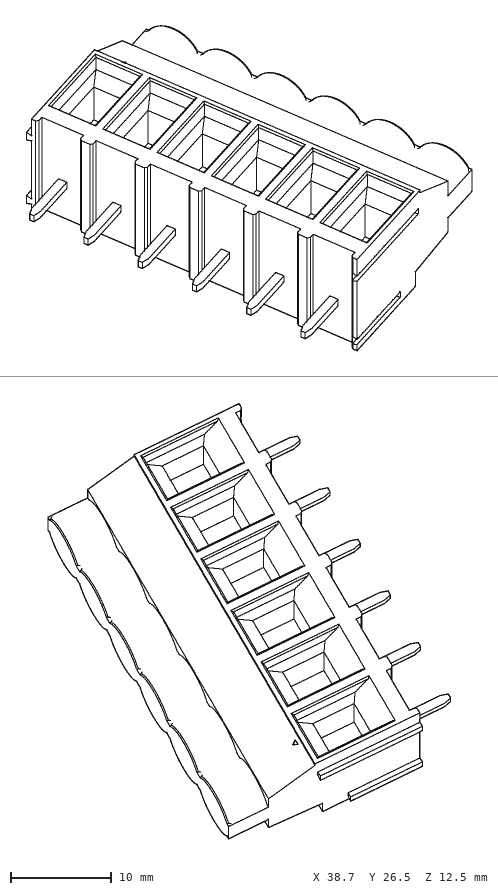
import cadquery as cq
import math


overall_length = 38.65
pole_count = 6
body_length = 38.07
pitch = body_length / pole_count
pole_centers = [(i + 0.5) * pitch for i in range(pole_count)]
pole_left_edges = [i * pitch for i in range(pole_count)]

body_height = 12.5
body_depth = 17.0
top_length = 11.8
top_step = 0.35
slope_end_z = 9.5
foot_length = 10.95
foot_height = 2.0
underside_end_z = 2.5

overall_depth = 21.5
barrel_radius = 3.25
barrel_z = 6.0
barrel_taper_length = 0.15
barrel_taper_inset = 0.08
slab_height = 3.0
slab_fillet = 0.2

panel_recess = 0.77
rib_half_width = 0.75
rib_chamfer = 0.25

mouth_width = 5.53
mouth_front_y = 2.55
mouth_back_y = 11.3
mouth_chamfer = 0.2
wall_depth = 1.85
funnel_depth = 2.47
well_width = 3.5
well_front_y = 4.75
well_back_y = 9.4
well_depth = 6.95

pin_width = 0.95
pin_thickness = 0.85
pin_length = 5.02
pin_tip_length = 0.8
pin_tip_width = 0.5
pin_z = 4.65

rail_projection = overall_length - body_length
rail_height = 1.1
rail_root_height = 0.7
upper_rail_z = 9.85
upper_rail_length = 11.48
lower_rail_z = 1.2
lower_rail_length = 8.08

mark_width = 0.55
mark_length = 0.45
mark_base_y = 12.17
mark_depth = 0.08


def make_housing():
    profile = [
        (0, 0),
        (foot_length, 0),
        (foot_length, foot_height),
        (body_depth, underside_end_z),
        (body_depth, slope_end_z),
        (top_length, body_height - top_step),
        (top_length, body_height),
        (0, body_height),
    ]
    return cq.Workplane("YZ").polyline(profile).close().extrude(body_length)


def make_barrels():
    """Screw barrels joined by a slab, with small fillets where they meet."""
    length = overall_depth - body_depth
    start = cq.Workplane("XZ", origin=(0, overall_depth, barrel_z))
    barrels = start.center(body_length / 2, 0).rect(body_length, slab_height).extrude(length)
    for x in pole_centers:
        barrel = (
            start.center(x, 0)
            .circle(barrel_radius)
            .extrude(length)
            .faces(">Y")
            .chamfer(barrel_taper_length, barrel_taper_inset)
        )
        barrels = barrels.union(barrel)
    end_margin = 0.05
    slab_corners = cq.selectors.BoxSelector(
        (end_margin, body_depth, barrel_z - slab_height),
        (body_length - end_margin, overall_depth, barrel_z + slab_height),
    )
    barrels = barrels.edges("|Y").edges(slab_corners).fillet(slab_fillet)
    ends = cq.Workplane("XY").box(body_length, overall_depth, body_height, centered=False)
    return barrels.intersect(ends)


def make_panel_recess(x_left):
    """Space between two ribs, widening at the chamfered rib tips."""
    near = x_left + rib_half_width
    far = x_left + pitch - rib_half_width
    outline = [
        (near - rib_chamfer, 0),
        (far + rib_chamfer, 0),
        (far, rib_chamfer),
        (far, panel_recess),
        (near, panel_recess),
        (near, rib_chamfer),
    ]
    return cq.Workplane("XY").polyline(outline).close().extrude(body_height)


def make_pocket(x_center):
    """Chamfered mouth, straight wall, funnel and rectangular well."""
    mouth_length = mouth_back_y - mouth_front_y
    wall_width = mouth_width - 2 * mouth_chamfer
    wall_front_y = mouth_front_y + mouth_chamfer
    wall_back_y = mouth_back_y - mouth_chamfer
    mouth_z = body_height - mouth_chamfer
    wall_z = body_height - wall_depth
    funnel_z = body_height - funnel_depth
    floor_z = body_height - well_depth

    mouth = (
        cq.Workplane("XY", origin=(x_center, (mouth_front_y + mouth_back_y) / 2, body_height))
        .rect(mouth_width, mouth_length)
        .workplane(offset=-mouth_chamfer)
        .rect(wall_width, mouth_length - 2 * mouth_chamfer)
        .loft(ruled=True)
    )
    side_profile = [
        (wall_front_y, mouth_z),
        (wall_back_y, mouth_z),
        (wall_back_y, wall_z),
        (well_back_y, funnel_z),
        (well_back_y, floor_z),
        (well_front_y, floor_z),
        (well_front_y, funnel_z),
    ]
    across_profile = [
        (-wall_width / 2, mouth_z),
        (wall_width / 2, mouth_z),
        (wall_width / 2, wall_z),
        (well_width / 2, funnel_z),
        (well_width / 2, floor_z),
        (-well_width / 2, floor_z),
        (-well_width / 2, funnel_z),
        (-wall_width / 2, wall_z),
    ]
    along = (
        cq.Workplane("YZ", origin=(x_center, 0, 0))
        .polyline(side_profile)
        .close()
        .extrude(wall_width / 2, both=True)
    )
    across = (
        cq.Workplane("XZ", origin=(x_center, 0, 0))
        .polyline(across_profile)
        .close()
        .extrude(-mouth_back_y)
    )
    return mouth.union(along.intersect(across))


def make_pin(x_center):
    """Flat pin starting on the recessed panel, with its tip tapered in width."""
    shoulder_y = pin_tip_length - pin_length
    outline = [
        (-pin_width / 2, panel_recess),
        (-pin_width / 2, shoulder_y),
        (-pin_tip_width / 2, -pin_length),
        (pin_tip_width / 2, -pin_length),
        (pin_width / 2, shoulder_y),
        (pin_width / 2, panel_recess),
    ]
    return (
        cq.Workplane("XY", origin=(x_center, 0, pin_z))
        .polyline(outline)
        .close()
        .extrude(pin_thickness / 2, both=True)
    )


def make_rail(x_root, z_center, length):
    """Dovetail rail widening from its root at x_root toward the left."""
    outline = [
        (x_root, z_center - rail_root_height / 2),
        (x_root, z_center + rail_root_height / 2),
        (x_root - rail_projection, z_center + rail_height / 2),
        (x_root - rail_projection, z_center - rail_height / 2),
    ]
    return cq.Workplane("XZ").polyline(outline).close().extrude(-length)


def make_mark():
    """Triangular prism sunk into the sloped top above the first pole."""
    slope_start_z = body_height - top_step
    run = body_depth - top_length
    drop = slope_start_z - slope_end_z
    tilt = math.degrees(math.atan2(drop, run))
    base_offset = (mark_base_y - top_length) / math.cos(math.radians(tilt))
    outline = [
        (-mark_width / 2, base_offset),
        (mark_width / 2, base_offset),
        (0, base_offset + mark_length),
    ]
    return (
        cq.Workplane("XY")
        .polyline(outline)
        .close()
        .extrude(-mark_depth)
        .rotate((0, 0, 0), (1, 0, 0), -tilt)
        .translate((pole_centers[0], top_length, slope_start_z))
    )


result = make_housing().union(make_barrels())

for x in pole_left_edges:
    result = result.cut(make_panel_recess(x))

for x in pole_centers:
    result = result.cut(make_pocket(x)).union(make_pin(x))

for z, length in ((upper_rail_z, upper_rail_length), (lower_rail_z, lower_rail_length)):
    result = result.union(make_rail(0, z, length))
    result = result.cut(make_rail(body_length, z, length))

result = result.cut(make_mark())